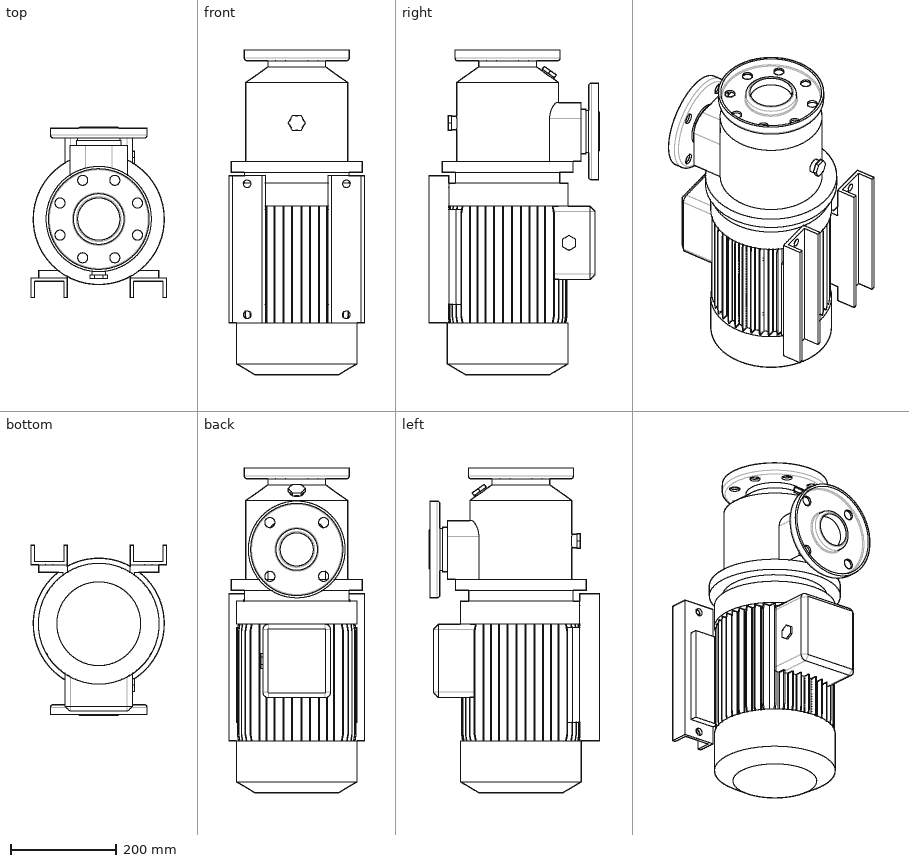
import cadquery as cq
import math


overall_height = 618.5
overall_width = 258.0

motor_radius = 115.0
cowl_base_radius = 80.0
cowl_chamfer_top = 21.0
cowl_top = 99.0
core_radius = 99.5
fins_top = 321.0
shield_top = 365.0
motor_neck_radius = 99.5
flange_bottom = 385.5
flange_radius = 125.0
flange_top = 406.5

fin_thickness = 2.0
fin_radius = 113.0
fin_end_radius = 111.5
fin_taper_length = 12.5
fin_pitch_angle = 9.0
fin_spacing_radius = 109.5
fins_per_half = 5

box_half_width = 64.5
box_front = 166.5
box_bottom = 181.0
box_edge_radius = 10.5
box_chamfer = 9.0
gland_size = 25.0
gland_thickness = 4.0
gland_y = 117.0

foot_outer_x = 114.5
foot_top_y = -98.0
foot_bottom_z = 134.0
foot_top_z = 315.0
riser_outer_x = 68.0
riser_top_y = -77.5
rail_width = 69.0
rail_outer_x = overall_width / 2
rail_back_y = -112.0
rail_depth = 38.0
rail_wall = 7.0
rail_top_z = 379.0
rail_hole_diameter = 14.0
rail_hole_inset = 15.5
rail_center_x = rail_outer_x - rail_width / 2
rail_inner_x = rail_outer_x - rail_width

casing_radius = 97.0
casing_top = 556.5
cone_top = 586.5
inlet_neck_radius = 55.0

block_half_width = 55.0
block_front = 140.0
block_top = 518.0
block_corner_radius = 30.0
outlet_z = 463.0
outlet_neck_radius = 42.5
outlet_neck_end = 149.0
outlet_throat_radius = 40.0

sheet_thickness = 4.5
rim_floor_fillet = 2.0
rim_back_fillet = 5.5
collar_wall = 8.0
collar_lip_radius = 5.5
collar_root_fillet = 2.0
flange_hole_diameter = 19.0
inlet_flange_radius = 100.0
inlet_flange_depth = 21.0
inlet_flange_back = overall_height - inlet_flange_depth
inlet_collar_radius = 48.0
inlet_hole_circle_radius = 80.0
inlet_hole_count = 8
outlet_flange_radius = 92.0
outlet_flange_depth = 19.0
outlet_flange_back = 154.0
outlet_collar_radius = 39.5
outlet_collar_rise = 2.0
outlet_hole_circle_radius = 72.5
outlet_hole_count = 4

plug_hex_size = 28.5
plug_hex_thickness = 7.0
plug_neck_radius = 13.0
plug_root_depth = 6.0
drain_z = 479.5
drain_neck_length = 9.0
vent_neck_length = 2.5


def box_between(x0, x1, y0, y1, z0, z1):
    """Axis-aligned box between two opposite corners."""
    return cq.Workplane("XY").box(x1 - x0, y1 - y0, z1 - z0, centered=False).translate((x0, y0, z0))


def cylinder_between(radius, z0, z1):
    """Cylinder on the main axis from z0 to z1."""
    return cq.Workplane("XY").workplane(offset=z0).circle(radius).extrude(z1 - z0)


def hexagon(workplane, across_flats):
    """Hexagon with two corners on the local x axis."""
    return workplane.polygon(6, across_flats / math.cos(math.pi / 6))


def motor_shell():
    """Fan cowl, finned core, end shield, neck and mounting flange turned in one profile."""
    profile = [
        (0, 0),
        (cowl_base_radius, 0),
        (motor_radius, cowl_chamfer_top),
        (motor_radius, cowl_top),
        (core_radius, cowl_top),
        (core_radius, fins_top),
        (motor_radius, fins_top),
        (motor_radius, shield_top),
        (motor_neck_radius, shield_top),
        (motor_neck_radius, flange_bottom),
        (flange_radius, flange_bottom),
        (flange_radius, flange_top),
        (0, flange_top),
    ]
    return cq.Workplane("YZ").polyline(profile).close().revolve(360, (0, 0, 0), (0, 1, 0))


def single_fin(middle_x):
    """Untrimmed fin on the +Y side, parallel to Y and starting level with the outermost fin."""
    half = fin_thickness / 2
    start_y = fin_offset(fins_per_half - 1) - half
    return box_between(middle_x - half, middle_x + half, start_y, motor_radius, cowl_top, fins_top)


def cooling_fins():
    """Thin fins parallel to X on the sides and to Y at front and back, trimmed to a tapered drum."""
    drum_profile = [
        (0, cowl_top),
        (fin_end_radius, cowl_top),
        (fin_radius, cowl_top + fin_taper_length),
        (fin_radius, fins_top - fin_taper_length),
        (fin_end_radius, fins_top),
        (0, fins_top),
    ]
    drum = cq.Workplane("YZ").polyline(drum_profile).close().revolve(360, (0, 0, 0), (0, 1, 0))
    fins = cq.Workplane("XY")
    for index in range(fins_per_half):
        for side in (-1, 1):
            for quarter in range(4):
                fin = single_fin(side * fin_offset(index))
                fins = fins.union(fin.rotate((0, 0, 0), (0, 0, 1), 90 * quarter))
    return fins.intersect(drum)


def fin_offset(index):
    """Distance of a fin from the middle plane; equal angles make the fins closer further out."""
    return fin_spacing_radius * math.sin(math.radians(fin_pitch_angle * (index + 0.5)))


def terminal_box():
    """Terminal box on the +Y side, with a cable gland on its +X face."""
    box = box_between(-box_half_width, box_half_width, 0, box_front, box_bottom, fins_top)
    box = box.edges("|Y").fillet(box_edge_radius).faces(">Y").chamfer(box_chamfer)
    gland_z = (box_bottom + fins_top) / 2
    gland_plane = cq.Plane((box_half_width, gland_y, gland_z), xDir=(0, 0, 1), normal=(1, 0, 0))
    gland = hexagon(cq.Workplane(gland_plane), gland_size).extrude(gland_thickness)
    return box.union(gland)


def foot():
    """Foot at +X: a plate on the rail and a riser reaching the core between two fins."""
    plate = box_between(rail_inner_x, foot_outer_x, rail_back_y, foot_top_y, foot_bottom_z, foot_top_z)
    riser = box_between(rail_inner_x, riser_outer_x, rail_back_y, riser_top_y, foot_bottom_z, foot_top_z)
    return plate.union(riser)


def rail():
    """Channel rail at +X, open toward -Y, with a hole near each end."""
    front_y = rail_back_y - rail_depth
    channel = box_between(rail_inner_x, rail_outer_x, front_y, rail_back_y, cowl_top, rail_top_z)
    groove = box_between(
        rail_inner_x + rail_wall,
        rail_outer_x - rail_wall,
        front_y,
        rail_back_y - rail_wall,
        cowl_top,
        rail_top_z,
    )
    channel = channel.cut(groove)
    hole_heights = (cowl_top + rail_hole_inset, rail_top_z - rail_hole_inset)
    holes = (
        cq.Workplane("XZ", origin=(0, rail_back_y, 0))
        .pushPoints([(rail_center_x, height) for height in hole_heights])
        .circle(rail_hole_diameter / 2)
        .extrude(rail_wall)
    )
    return channel.cut(holes)


def make_motor():
    right_mount = foot().union(rail())
    left_mount = right_mount.mirror("YZ")
    body = motor_shell().union(cooling_fins()).union(terminal_box())
    return body.union(right_mount).union(left_mount)


def dished_flange(radius, depth, collar_radius, collar_rise, hole_circle_radius, hole_count):
    """Dished flange with its back at Z = 0: a thin plate, a raised rim and a rounded pipe collar."""
    collar_top = depth + collar_rise
    root_radius = collar_radius + collar_root_fillet
    plate_and_rim = cylinder_between(radius, 0, depth).faces("<Z").edges().fillet(rim_back_fillet)
    dish = cylinder_between(radius - sheet_thickness, sheet_thickness, depth)
    dish = dish.faces("<Z").edges().fillet(rim_floor_fillet)
    collar = (
        cq.Workplane("XZ")
        .moveTo(0, 0)
        .lineTo(0, collar_top)
        .lineTo(collar_radius - collar_lip_radius, collar_top)
        .radiusArc((collar_radius, collar_top - collar_lip_radius), collar_lip_radius)
        .lineTo(collar_radius, sheet_thickness + collar_root_fillet)
        .radiusArc((root_radius, sheet_thickness), -collar_root_fillet)
        .lineTo(root_radius, 0)
        .close()
        .revolve(360, (0, 0, 0), (0, 1, 0))
    )
    bore = cylinder_between(collar_radius - collar_wall, sheet_thickness, collar_top)
    holes = (
        cq.Workplane("XY")
        .polarArray(hole_circle_radius, 180 / hole_count, 360, hole_count)
        .circle(flange_hole_diameter / 2)
        .extrude(depth)
    )
    return plate_and_rim.cut(dish).union(collar).cut(bore).cut(holes)


def casing():
    """Cylindrical casing narrowing in a cone to the inlet neck."""
    profile = [
        (0, flange_top),
        (casing_radius, flange_top),
        (casing_radius, casing_top),
        (inlet_neck_radius, cone_top),
        (inlet_neck_radius, inlet_flange_back),
        (0, inlet_flange_back),
    ]
    return cq.Workplane("YZ").polyline(profile).close().revolve(360, (0, 0, 0), (0, 1, 0))


def inlet_flange():
    flange = dished_flange(
        inlet_flange_radius,
        inlet_flange_depth,
        inlet_collar_radius,
        0,
        inlet_hole_circle_radius,
        inlet_hole_count,
    )
    return flange.translate((0, 0, inlet_flange_back))


def outlet_block():
    """Block on the +Y side with rounded upper corners and a stepped neck for the outlet flange."""
    block = box_between(-block_half_width, block_half_width, 0, block_front, flange_top, block_top)
    block = block.edges("|Y and >Z").fillet(block_corner_radius)
    neck = outlet_cylinder(outlet_neck_radius, outlet_neck_end)
    throat = outlet_cylinder(outlet_throat_radius, outlet_flange_back)
    return block.union(neck).union(throat)


def outlet_cylinder(radius, end_y):
    """Cylinder on the outlet axis from the block face to end_y."""
    start = cq.Plane((0, block_front, outlet_z), xDir=(1, 0, 0), normal=(0, 1, 0))
    return cq.Workplane(start).circle(radius).extrude(end_y - block_front)


def outlet_flange():
    flange = dished_flange(
        outlet_flange_radius,
        outlet_flange_depth,
        outlet_collar_radius,
        outlet_collar_rise,
        outlet_hole_circle_radius,
        outlet_hole_count,
    )
    return flange.rotate((0, 0, 0), (1, 0, 0), -90).translate((0, outlet_flange_back, outlet_z))


def screw_plug(surface_point, direction, neck_length):
    """Hex plug standing on the casing surface, with its neck rooted inside the casing."""
    plane = cq.Plane(surface_point, xDir=(1, 0, 0), normal=direction)
    neck = cq.Workplane(plane).workplane(offset=-plug_root_depth)
    neck = neck.circle(plug_neck_radius).extrude(plug_root_depth + neck_length)
    head = cq.Workplane(plane).workplane(offset=neck_length)
    head = hexagon(head, plug_hex_size).extrude(plug_hex_thickness)
    return neck.union(head)


def drain_plug():
    return screw_plug((0, -casing_radius, drain_z), (0, -1, 0), drain_neck_length)


def vent_plug():
    """Plug at the middle of the cone on the +Y side, square to its slope."""
    middle = (0, (casing_radius + inlet_neck_radius) / 2, (casing_top + cone_top) / 2)
    normal = (0, cone_top - casing_top, casing_radius - inlet_neck_radius)
    return screw_plug(middle, normal, vent_neck_length)


def make_pump():
    body = casing().union(outlet_block()).union(inlet_flange()).union(outlet_flange())
    return body.union(drain_plug()).union(vent_plug())


motor = make_motor()
pump = make_pump()

result = cq.Compound.makeCompound([motor.solids().val(), pump.solids().val()])